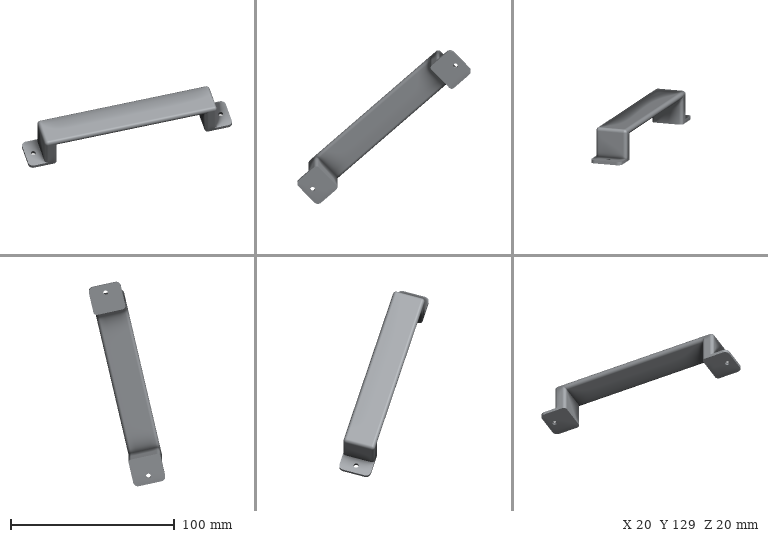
import cadquery as cq

length = 129.0
width = 20.0
height = 20.0

bar_thickness = 4.0
leg_thickness = 7.6
edge_radius = bar_thickness / 2

foot_length = 9.9
foot_thickness = bar_thickness / 2
foot_corner_radius = 3.0
hole_diameter = 3.0
hole_inset = 5.0

handle_length = length - 2 * foot_length
leg_offset = (handle_length - leg_thickness) / 2


def block(size_y, size_z, center_y=0, base_z=0):
    """Full-width block standing on base_z."""
    return (
        cq.Workplane("XY")
        .box(width, size_y, size_z, centered=(True, True, False))
        .translate((0, center_y, base_z))
    )


def make_leg(side):
    """Leg at one end (side is +1 or -1), rounded on its edges facing the grip space."""
    inner_edges = "|Z and <Y" if side > 0 else "|Z and >Y"
    return block(leg_thickness, height, side * leg_offset).edges(inner_edges).fillet(edge_radius)


def make_handle():
    """Bar on two legs, trimmed to a rounded outer envelope."""
    bar = block(handle_length, bar_thickness, base_z=height - bar_thickness)
    bar = bar.edges("|Y and <Z").fillet(edge_radius)
    envelope = block(handle_length, height).edges("|Z or >Z").fillet(edge_radius)
    return bar.union(make_leg(1)).union(make_leg(-1)).intersect(envelope)


def make_foot(side):
    """Drilled plate reaching from the outer end to the rounded inner edges of the leg."""
    foot_span = foot_length + leg_thickness - edge_radius
    outer_edges = "|Z and >Y" if side > 0 else "|Z and <Y"
    foot = block(foot_span, foot_thickness, side * (length - foot_span) / 2)
    foot = foot.edges(outer_edges).fillet(foot_corner_radius)
    hole = (
        cq.Workplane("XY")
        .center(0, side * (length / 2 - hole_inset))
        .circle(hole_diameter / 2)
        .extrude(foot_thickness)
    )
    return foot.cut(hole)


result = make_handle().union(make_foot(1)).union(make_foot(-1))